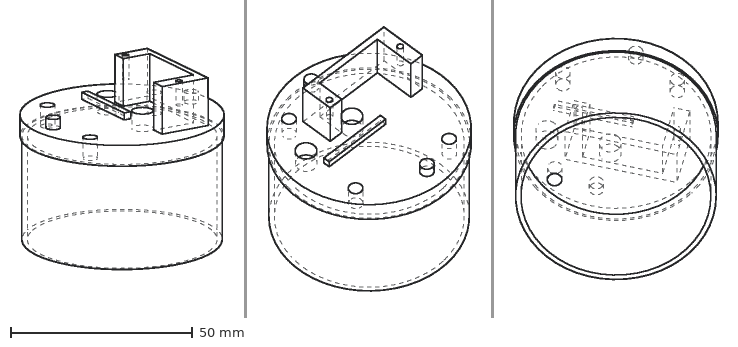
import cadquery as cq
import math

plate_diameter = 56.3
plate_thickness = 6.0
cup_diameter = 55.3
cup_bore = 52.3
cup_height = 30.0
plate_top = cup_height + plate_thickness

pitch_radius = 22.35
pin_diameter = 4.0
pin_height = 3.0
pin_angles = (90, 270)
through_hole_diameter = 4.0
through_hole_angles = (125, 215, 305)

hole_row_y = 6.65
pocket_diameter = 6.0
pocket_depth = 5.0
pocket_xs = (-18.0, 0.0)

bracket_left = -10.8
bracket_width = 31.75
bracket_back = 14.9
bracket_height = 13.75
bracket_wall = 1.95
arm_width = 4.5
left_arm_length = 10.5
right_arm_length = bracket_back
screw_hole_diameter = 1.8
screw_hole_depth = bracket_height / 2
screw_hole_inset = 1.95

rib_left = -17.75
rib_length = 22.2
rib_width = 2.0
rib_height = 2.0


def pitch_points(angles):
    """Points on the pitch circle at the given angles in degrees."""
    return [
        (pitch_radius * math.cos(math.radians(a)), pitch_radius * math.sin(math.radians(a)))
        for a in angles
    ]


def cylinders(points, diameter, bottom, height):
    """Equal upright cylinders standing at the given points."""
    return cq.Workplane("XY").workplane(offset=bottom).pushPoints(points).circle(diameter / 2).extrude(height)


def block(left, back, width, length, height):
    """Block on the plate, reaching from its back left corner toward +X and -Y."""
    corner = (left, back - length, plate_top)
    return cq.Workplane("XY").box(width, length, height, centered=False).translate(corner)


def make_housing():
    cup = cq.Workplane("XY").circle(cup_diameter / 2).circle(cup_bore / 2).extrude(cup_height)
    plate = cylinders([(0, 0)], plate_diameter, cup_height, plate_thickness)
    return cup.union(plate)


def make_bracket():
    bracket_right = bracket_left + bracket_width
    back_wall = block(bracket_left, bracket_back, bracket_width, bracket_wall, bracket_height)
    left_arm = block(bracket_left, bracket_back, arm_width, left_arm_length, bracket_height)
    right_arm = block(bracket_right - arm_width, bracket_back, arm_width, right_arm_length, bracket_height)
    screw_points = [
        (bracket_left + screw_hole_inset, hole_row_y),
        (bracket_right - screw_hole_inset, hole_row_y),
    ]
    screw_bottom = plate_top + bracket_height - screw_hole_depth
    screw_holes = cylinders(screw_points, screw_hole_diameter, screw_bottom, screw_hole_depth)
    return back_wall.union(left_arm).union(right_arm).cut(screw_holes)


rib = block(rib_left, 0, rib_length, rib_width, rib_height)
pins = cylinders(pitch_points(pin_angles), pin_diameter, plate_top, pin_height)
through_points = pitch_points(through_hole_angles)
through_holes = cylinders(through_points, through_hole_diameter, cup_height, plate_thickness)
pocket_points = [(x, hole_row_y) for x in pocket_xs]
pockets = cylinders(pocket_points, pocket_diameter, plate_top - pocket_depth, pocket_depth)

result = make_housing().union(make_bracket()).union(rib).union(pins).cut(through_holes).cut(pockets)